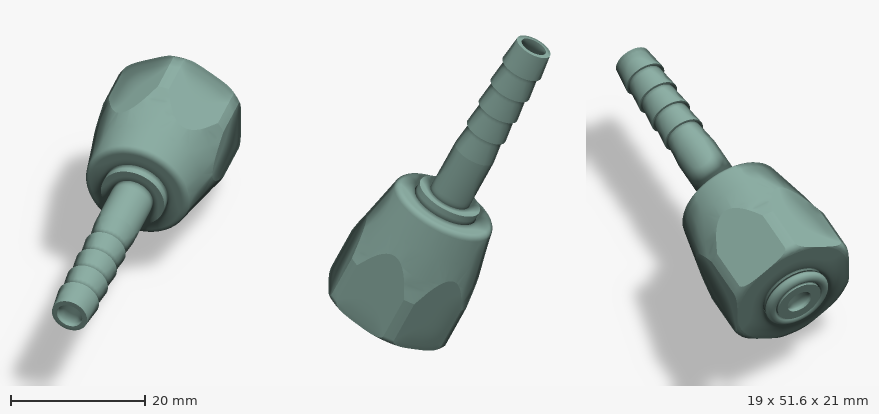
import cadquery as cq
import math

total_length = 51.6

bore_diameter = 4.0
shank_diameter = 6.5
barb_small_diameter = 5.55
barb_count = 5
barb_pitch = 3.95
collar_diameter = 10.0
collar_start = 28.1

ring_diameter = 10.4
ring_section = 1.6
ring_center = total_length - ring_section / 2
ring_path_radius = (ring_diameter - ring_section) / 2
spigot_start = total_length - ring_section
spigot_radius = ring_path_radius - ring_section / 2

nut_start = 29.6
nut_length = 20.05
nut_end = nut_start + nut_length
across_flats = 19.0
across_corners = 21.0
nut_bore_diameter = 10.2
cone_small_diameter = 16.0
straight_length = 7.85
front_fillet = 0.95
back_fillet = 1.05


def revolve_about_y(profile):
    """Turn a closed (radius, Y) profile about the Y axis."""
    return profile.close().revolve(360, (0, 0, 0), (0, 1, 0))


def make_o_ring():
    section = cq.Workplane("XY").center(ring_path_radius, ring_center).circle(ring_section / 2)
    return section.revolve(360, (-ring_path_radius, 0, 0), (-ring_path_radius, 1, 0))


def make_hose_tail():
    bore_radius = bore_diameter / 2
    shank_radius = shank_diameter / 2
    collar_radius = collar_diameter / 2
    profile = cq.Workplane("XY").moveTo(bore_radius, 0)
    for barb in range(barb_count):
        profile = profile.lineTo(barb_small_diameter / 2, barb * barb_pitch)
        profile = profile.lineTo(shank_radius, (barb + 1) * barb_pitch)
    profile = (
        profile.lineTo(shank_radius, collar_start)
        .lineTo(collar_radius, collar_start)
        .lineTo(collar_radius, spigot_start)
        .lineTo(spigot_radius, spigot_start)
        .lineTo(spigot_radius, total_length)
        .lineTo(bore_radius, total_length)
    )
    return revolve_about_y(profile)


def make_nut():
    bore_radius = nut_bore_diameter / 2
    cone_radius = cone_small_diameter / 2
    corner_radius = across_corners / 2
    cone_end = nut_end - straight_length

    blank = revolve_about_y(
        cq.Workplane("XY")
        .moveTo(bore_radius, nut_end)
        .lineTo(corner_radius, nut_end)
        .lineTo(corner_radius, cone_end)
        .lineTo(cone_radius, nut_start)
        .lineTo(bore_radius, nut_start)
    )
    outer_rim = cq.selectors.RadiusNthSelector(-1)
    blank = blank.faces("<Y").edges(outer_rim).fillet(front_fillet)
    blank = blank.faces(">Y").edges(outer_rim).fillet(back_fillet)

    hexagon = (
        cq.Workplane("XZ", origin=(0, nut_start, 0))
        .transformed(rotate=(0, 0, 90))
        .polygon(6, across_flats / math.cos(math.pi / 6))
        .extrude(-nut_length)
    )
    return blank.intersect(hexagon)


o_ring = make_o_ring()
hose_tail = make_hose_tail()
nut = make_nut()

result = cq.Compound.makeCompound([nut.val(), hose_tail.val(), o_ring.val()])